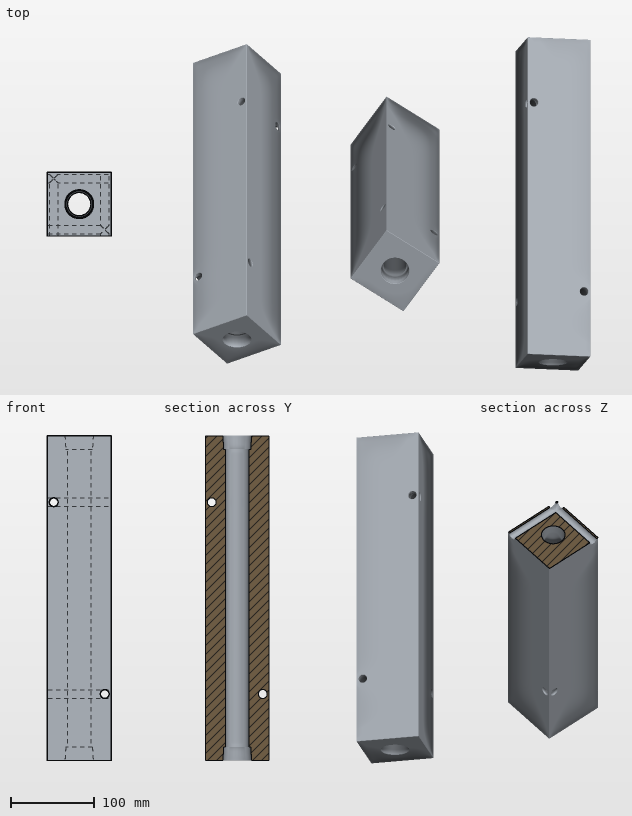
import cadquery as cq

length = 387.5
width = 76.5
edge_chamfer = 0.5

bore_diameter = 27.5
socket_mouth_diameter = 33.7
socket_floor_diameter = 31.8
socket_depth = 16.3

cross_hole_diameter = 10.0
cross_hole_edge_distance = 7.7
cross_hole_end_distance = 79.5

cross_offset = width / 2 - cross_hole_edge_distance
cross_height = length / 2 - cross_hole_end_distance


def make_mouth_chamfer(face_plane, hole_diameter):
    """Conical cutter that breaks a hole's edge, narrowing inward from an outward-facing plane."""
    return (
        cq.Workplane(face_plane)
        .circle(hole_diameter / 2 + edge_chamfer)
        .workplane(offset=-edge_chamfer)
        .circle(hole_diameter / 2)
        .loft()
    )


def make_socket():
    """Cutter for the tapered socket at the top end, with its chamfered mouth."""
    top_plane = cq.Plane(origin=(0, 0, length / 2))
    taper = (
        cq.Workplane(top_plane)
        .circle(socket_mouth_diameter / 2)
        .workplane(offset=-socket_depth)
        .circle(socket_floor_diameter / 2)
        .loft()
    )
    return taper.union(make_mouth_chamfer(top_plane, socket_mouth_diameter))


def make_cross_hole(offset, height):
    """Cutter for a hole right through the bar along Y, chamfered at both mouths."""
    half_hole = (
        cq.Workplane("XZ", origin=(offset, 0, height))
        .circle(cross_hole_diameter / 2)
        .extrude(width / 2)
    )
    front_plane = cq.Plane(origin=(offset, -width / 2, height), xDir=(1, 0, 0), normal=(0, -1, 0))
    half_hole = half_hole.union(make_mouth_chamfer(front_plane, cross_hole_diameter))
    return half_hole.union(half_hole.mirror("XZ"))


bar = cq.Workplane("XY").box(width, width, length).edges().chamfer(edge_chamfer)
bore = cq.Workplane("XY").circle(bore_diameter / 2).extrude(length, both=True)
top_socket = make_socket()
bottom_socket = top_socket.mirror("XY")

cutters = [bore, top_socket, bottom_socket]

for side in (-1, 1):
    hole_along_y = make_cross_hole(side * cross_offset, -side * cross_height)
    hole_along_x = hole_along_y.rotate((0, 0, 0), (0, 0, 1), -90)
    cutters += [hole_along_y, hole_along_x]

result = bar
for cutter in cutters:
    result = result.cut(cutter)